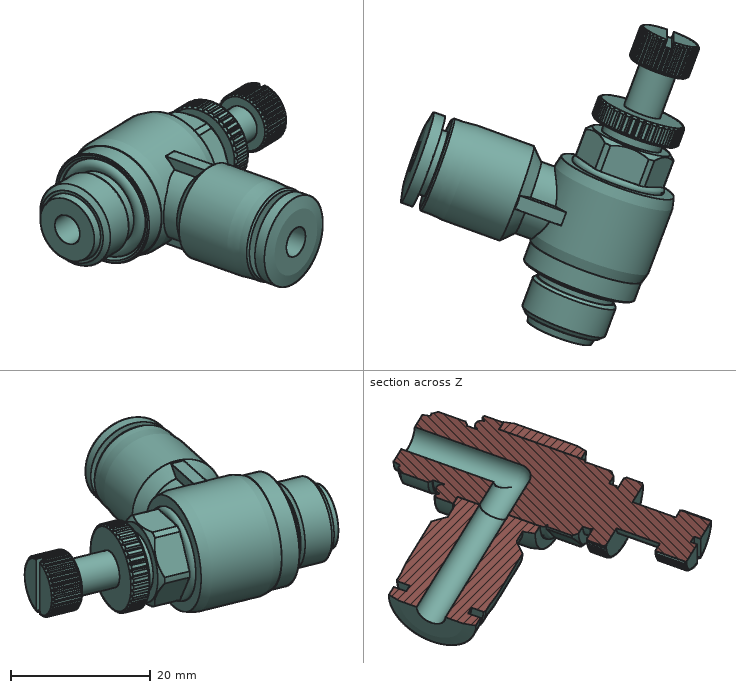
import cadquery as cq
import math


sleeve_radius = 9.0
sleeve_top = 7.3
sleeve_bottom = -5.8
sleeve_taper_length = 1.55
sleeve_top_radius = 8.6
sleeve_bottom_radius = 8.57

port_neck_radius = 5.5
port_cone_start = 11.0
port_radius = 7.25
port_cone_end = port_cone_start + port_radius - port_neck_radius
port_taper_start = 21.5
port_taper_end = 23.5
port_rim_radius = 7.05
port_end = 25.12
port_rim_chamfer = 0.28

button_neck_radius = 4.95
button_start = 26.25
button_radius = 6.9
button_edge = 27.95
button_end = 28.35
button_face_radius = 5.02

rib_width = 2.07
rib_height = 2 * port_rim_radius
rib_end = port_cone_end

passage_radius = 2.25

barrel_radius = 6.95
barrel_top = 8.15
flange_radius = 8.5
flange_bottom = -8.85
flange_chamfer = 0.2

seal_tube_radius = 0.9
seal_centre_radius = 6.65
seal_protrusion = 0.45
seal_centre_y = flange_bottom - seal_protrusion + seal_tube_radius
seal_recess_radius = seal_centre_radius + seal_tube_radius
seal_recess_mouth_radius = 7.98

bead_tube_radius = 0.65
bead_centre_y = barrel_top - bead_tube_radius
bead_reach = math.sqrt(bead_tube_radius**2 - (bead_centre_y - sleeve_top) ** 2)
bead_centre_radius = barrel_radius - bead_reach

thread_neck_radius = seal_centre_radius - seal_tube_radius
thread_radius = 6.35
thread_top = -10.3
thread_top_chamfer = 0.45
thread_top_radius = thread_radius - thread_top_chamfer
thread_bottom = -15.8
thread_bottom_chamfer = 0.75
nose_radius = 5.15
nose_end_radius = 4.9
nose_end = -16.9

hex_across_flats = 12.12
hex_corner_radius = 6.75
hex_top = 12.9
hex_chamfer_width = 0.8
hex_chamfer_height = 0.7

collar_radius = 4.5
collar_chamfer = 0.28

nut_radius = 6.6
nut_bottom = 14.35
nut_top = 17.43
nut_chamfer = 0.3

stem_radius = 2.75
knob_radius = 4.5
knob_bottom = 24.2
knob_top = 29.2
knob_chamfer = 0.3
slot_width = 1.05
slot_depth = 1.0

knurl_count = 40
knurl_depth = 0.255
nut_groove_width = 0.5
knob_groove_width = 0.4
knurl_step = 360 / knurl_count


def cylinder_on_y(radius, bottom, top):
    """Solid cylinder about the valve axis between two heights."""
    return cq.Workplane("XZ", origin=(0, bottom, 0)).circle(radius).extrude(bottom - top)


def make_passage():
    """Straight bore, spherical corner and cross bore out through the port."""
    inlet = cylinder_on_y(passage_radius, nose_end, 0)
    corner = cq.Workplane("XY").sphere(passage_radius)
    outlet = cq.Workplane("YZ").circle(passage_radius).extrude(button_end)
    return inlet.union(corner).union(outlet)


def make_sleeve():
    """Cylinder that tapers at both ends."""
    return (
        cq.Workplane("XY")
        .moveTo(0, sleeve_bottom)
        .lineTo(sleeve_bottom_radius, sleeve_bottom)
        .lineTo(sleeve_radius, sleeve_bottom + sleeve_taper_length)
        .lineTo(sleeve_radius, sleeve_top - sleeve_taper_length)
        .lineTo(sleeve_top_radius, sleeve_top)
        .lineTo(0, sleeve_top)
        .close()
        .revolve(360, (0, 0, 0), (0, 1, 0))
    )


def make_port():
    """Stepped port with its release button, turned about X."""
    return (
        cq.Workplane("XY")
        .lineTo(0, port_neck_radius)
        .lineTo(port_cone_start, port_neck_radius)
        .lineTo(port_cone_end, port_radius)
        .lineTo(port_taper_start, port_radius)
        .lineTo(port_taper_end, port_rim_radius)
        .lineTo(port_end - port_rim_chamfer, port_rim_radius)
        .lineTo(port_end, port_rim_radius - port_rim_chamfer)
        .lineTo(port_end, button_neck_radius)
        .lineTo(button_start, button_neck_radius)
        .lineTo(button_start, button_radius)
        .lineTo(button_edge, button_radius)
        .lineTo(button_end, button_face_radius)
        .lineTo(button_end, 0)
        .close()
        .revolve(360, (0, 0, 0), (1, 0, 0))
    )


def make_housing():
    """Elbow housing: sleeve, port and rib, bored for the valve and the flow."""
    rib = cq.Workplane("XY").box(rib_end, rib_width, rib_height, centered=(False, True, True))
    barrel_bore = cylinder_on_y(barrel_radius, sleeve_bottom, sleeve_top)
    return make_sleeve().union(make_port()).union(rib).cut(barrel_bore).cut(make_passage())


def make_valve_base():
    """Threaded end, seal ring, flange, barrel and bead, turned about Y."""
    return (
        cq.Workplane("XY")
        .moveTo(0, nose_end)
        .lineTo(nose_end_radius, nose_end)
        .lineTo(nose_radius, thread_bottom)
        .lineTo(thread_radius - thread_bottom_chamfer, thread_bottom)
        .lineTo(thread_radius, thread_bottom + thread_bottom_chamfer)
        .lineTo(thread_radius, thread_top - thread_top_chamfer)
        .lineTo(thread_top_radius, thread_top)
        .lineTo(thread_neck_radius, thread_top)
        .lineTo(thread_neck_radius, seal_centre_y)
        .threePointArc(
            (seal_centre_radius, seal_centre_y - seal_tube_radius),
            (seal_recess_radius, seal_centre_y),
        )
        .lineTo(seal_recess_mouth_radius, flange_bottom)
        .lineTo(flange_radius - flange_chamfer, flange_bottom)
        .lineTo(flange_radius, flange_bottom + flange_chamfer)
        .lineTo(flange_radius, sleeve_bottom)
        .lineTo(barrel_radius, sleeve_bottom)
        .lineTo(barrel_radius, sleeve_top)
        .threePointArc(
            (bead_centre_radius + bead_tube_radius, bead_centre_y),
            (bead_centre_radius, barrel_top),
        )
        .lineTo(0, barrel_top)
        .close()
        .revolve(360, (0, 0, 0), (0, 1, 0))
    )


def make_hexagon():
    """Hexagon with rounded corners and a conical top chamfer, two flats facing up and down Z."""
    across_corners = hex_across_flats / math.cos(math.pi / 6)
    prism = (
        cq.Workplane("XZ", origin=(0, barrel_top, 0))
        .polygon(6, across_corners)
        .extrude(barrel_top - hex_top)
    )
    envelope = (
        cylinder_on_y(hex_corner_radius, barrel_top, hex_top)
        .faces(">Y")
        .chamfer(hex_chamfer_height, hex_chamfer_width)
    )
    return prism.intersect(envelope)


def make_knurled_disc(radius, bottom, top, chamfer, groove_width, first_angle):
    """Chamfered disc about Y with V grooves along its rim; each is groove_width wide at the rim."""
    disc = cylinder_on_y(radius, bottom, top).faces("<Y or >Y").chamfer(chamfer)
    groove_root = radius - knurl_depth
    groove_mouth = radius + knurl_depth
    groove = (
        cq.Workplane("XZ", origin=(0, bottom, 0))
        .moveTo(groove_root, 0)
        .lineTo(groove_mouth, groove_width)
        .lineTo(groove_mouth, -groove_width)
        .close()
        .extrude(bottom - top)
    )
    for index in range(knurl_count):
        angle = first_angle + index * knurl_step
        disc = disc.cut(groove.rotate((0, 0, 0), (0, 1, 0), angle))
    return disc


def make_knob():
    """Knurled knob with a screwdriver slot along Z."""
    knob = make_knurled_disc(knob_radius, knob_bottom, knob_top, knob_chamfer, knob_groove_width, 0)
    slot = cq.Workplane("XY", origin=(0, knob_top, 0)).box(slot_width, 2 * slot_depth, 2 * knob_radius)
    return knob.cut(slot)


def make_valve():
    """Valve insert: base, hexagon, collar, lock nut, stem and knob, with the flow passage."""
    collar = cylinder_on_y(collar_radius, hex_top, nut_bottom).faces(">Y").chamfer(collar_chamfer)
    lock_nut = make_knurled_disc(
        nut_radius, nut_bottom, nut_top, nut_chamfer, nut_groove_width, knurl_step / 2
    )
    stem = cylinder_on_y(stem_radius, nut_top, knob_bottom)
    return (
        make_valve_base()
        .union(make_hexagon())
        .union(collar)
        .union(lock_nut)
        .union(stem)
        .union(make_knob())
        .cut(make_passage())
    )


housing = make_housing()
valve = make_valve()

result = cq.Compound.makeCompound([housing.solids().val(), valve.solids().val()])